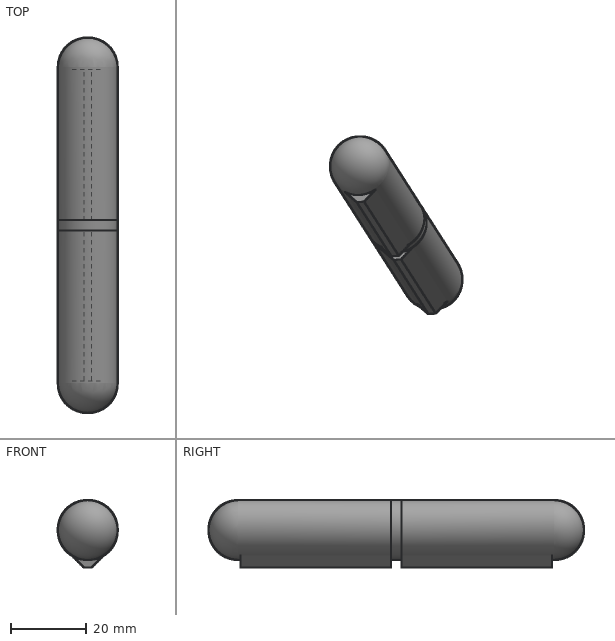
import cadquery as cq

length = 99.9
diameter = 16.0
radius = diameter / 2

ring_width = 2.7

keel_depth = 10.0
keel_flat_width = 2.0
keel_end_gap = 0.5
flank_rise = 3.5

half_inner_y = ring_width / 2
dome_start_y = length / 2 - radius
keel_outer_y = dome_start_y - keel_end_gap


def rod(start_y, end_y):
    """Solid cylinder on the Y axis between two stations."""
    return cq.Workplane("XZ", origin=(0, start_y, 0)).circle(radius).extrude(start_y - end_y)


def make_keel():
    """Flat-bottomed V bar; its wide top is buried in the barrel."""
    flat_half_width = keel_flat_width / 2
    top_half_width = flat_half_width + flank_rise
    top_z = flank_rise - keel_depth
    return (
        cq.Workplane("XZ", origin=(0, half_inner_y, 0))
        .moveTo(top_half_width, top_z)
        .lineTo(flat_half_width, -keel_depth)
        .lineTo(-flat_half_width, -keel_depth)
        .lineTo(-top_half_width, top_z)
        .close()
        .extrude(half_inner_y - keel_outer_y)
    )


def make_half(side):
    """Domed half with its keel; side is +1 for the +Y half and -1 for the -Y half."""
    barrel = rod(half_inner_y, dome_start_y)
    dome = cq.Workplane("YZ", origin=(0, dome_start_y, 0)).sphere(radius)
    half = barrel.union(dome).union(make_keel()).solids()
    return half if side > 0 else half.mirror("XZ").solids()


def make_ring():
    """Plain spacer disc that fills the gap between the halves."""
    return rod(-half_inner_y, half_inner_y)


halves = [make_half(side) for side in (1, -1)]
ring = make_ring()

result = cq.Compound.makeCompound([*(half.val() for half in halves), ring.val()])